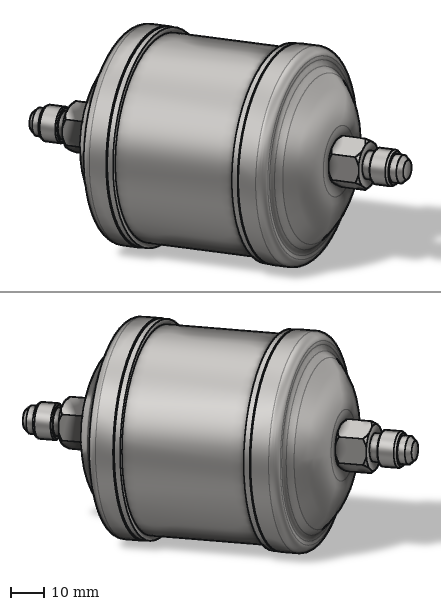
import cadquery as cq
import math

total_length = 124.0
body_radius = 63.5 / 2
cap_radius = 67.0 / 2
band_radius = 66.7 / 2

band_inner_x = 19.7
cap_inner_x = 21.6
dome_face_x = 39.2
hex_outer_x = 49.1

cap_edge_width = 0.4
rim_fillet = 2.7
dome_flat_radius = 10.8
dome_arc_radius = 21.3
dome_angle = math.radians(45)
dome_cone_length = 2.6
valley_radius = 2.6

hex_across_flats = 13.9
hex_chamfer_radius = 7.1
hex_chamfer_length = 1.1

tip_x = total_length / 2
tip_radius = 3.0
neck_radius = 8.7 / 2
cone_length = 1.6
thread_radius = 11.2 / 2
thread_root_radius = 5.1
thread_outer_x = 58.0
thread_inner_x = 51.8
thread_lead_in = 0.7
thread_runout = 0.4


def revolve_about_x(profile):
    """Revolve a closed XY half profile, with Y as radius, about the X axis."""
    return profile.close().revolve(360, (0, 0, 0), (1, 0, 0))


def make_end_cap():
    """Locating band and domed end cap on the +X side."""
    sine = math.sin(dome_angle)
    cosine = math.cos(dome_angle)
    half_sine = math.sin(dome_angle / 2)
    half_cosine = math.cos(dome_angle / 2)

    arc_mid = (
        dome_face_x - dome_arc_radius * (1 - half_cosine),
        dome_flat_radius + dome_arc_radius * half_sine,
    )
    arc_end_x = dome_face_x - dome_arc_radius * (1 - cosine)
    arc_end_radius = dome_flat_radius + dome_arc_radius * sine
    cone_end_x = arc_end_x - dome_cone_length * sine
    cone_end_radius = arc_end_radius + dome_cone_length * cosine

    rim_face_x = cone_end_x - valley_radius * (1 - cosine)
    valley_end_radius = cone_end_radius + valley_radius * sine
    valley_mid = (
        rim_face_x + valley_radius * (1 - half_cosine),
        valley_end_radius - valley_radius * half_sine,
    )

    fillet_center_x = rim_face_x - rim_fillet
    fillet_center_radius = cap_radius - rim_fillet
    fillet_mid = (
        fillet_center_x + rim_fillet * math.sqrt(0.5),
        fillet_center_radius + rim_fillet * math.sqrt(0.5),
    )

    profile = (
        cq.Workplane("XY")
        .moveTo(band_inner_x, 0)
        .lineTo(band_inner_x, band_radius)
        .lineTo(cap_inner_x, band_radius)
        .lineTo(cap_inner_x + cap_edge_width, cap_radius)
        .lineTo(fillet_center_x, cap_radius)
        .threePointArc(fillet_mid, (rim_face_x, fillet_center_radius))
        .lineTo(rim_face_x, valley_end_radius)
        .threePointArc(valley_mid, (cone_end_x, cone_end_radius))
        .lineTo(arc_end_x, arc_end_radius)
        .threePointArc(arc_mid, (dome_face_x, dome_flat_radius))
        .lineTo(dome_face_x, 0)
    )
    return revolve_about_x(profile)


def make_hexagon():
    """Hexagon with corners toward +Z and -Z and conical chamfers at both ends."""
    hex_length = hex_outer_x - dome_face_x
    corner_radius = hex_across_flats / math.sqrt(3)
    prism = (
        cq.Workplane("YZ", origin=(dome_face_x, 0, 0))
        .transformed(rotate=(0, 0, 90))
        .polygon(6, 2 * corner_radius)
        .extrude(hex_length)
    )
    envelope = revolve_about_x(
        cq.Workplane("XY")
        .moveTo(dome_face_x, 0)
        .lineTo(dome_face_x, hex_chamfer_radius)
        .lineTo(dome_face_x + hex_chamfer_length, corner_radius)
        .lineTo(hex_outer_x - hex_chamfer_length, corner_radius)
        .lineTo(hex_outer_x, hex_chamfer_radius)
        .lineTo(hex_outer_x, 0)
    )
    return prism.intersect(envelope)


def make_fitting():
    """Neck, threaded collar and conical tip outside the hexagon."""
    profile = (
        cq.Workplane("XY")
        .moveTo(hex_outer_x, 0)
        .lineTo(hex_outer_x, neck_radius)
        .lineTo(thread_inner_x, neck_radius)
        .lineTo(thread_inner_x, thread_root_radius)
        .lineTo(thread_inner_x + thread_runout, thread_radius)
        .lineTo(thread_outer_x - thread_lead_in, thread_radius)
        .lineTo(thread_outer_x, thread_root_radius)
        .lineTo(thread_outer_x, neck_radius)
        .lineTo(tip_x - cone_length, neck_radius)
        .lineTo(tip_x, tip_radius)
        .lineTo(tip_x, 0)
    )
    return revolve_about_x(profile)


def make_body():
    """Plain cylinder between the two bands."""
    return cq.Workplane("YZ", origin=(-band_inner_x, 0, 0)).circle(body_radius).extrude(2 * band_inner_x)


end = make_end_cap().union(make_hexagon()).union(make_fitting())
result = make_body().union(end).union(end.mirror("YZ"))